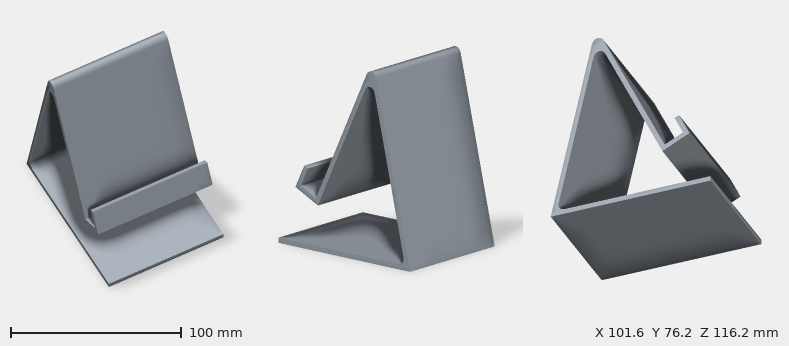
import cadquery as cq
import math

base_length = 101.6
stand_width = 76.2
stand_height = 116.2
wall = 3.1
corner_radius = 3.8
back_angle = 76.9
rest_angle = 64.5
foot_height = 27.9
tray_depth = 19.2
lip_height = 15.7


def step(point, angle, distance):
    """Move from an (x, z) point by a distance along a direction in degrees."""
    direction = math.radians(angle)
    return (point[0] + distance * math.cos(direction), point[1] + distance * math.sin(direction))


rest_down = -rest_angle
tray_out = rest_down + 90
lip_up = tray_out + 90

half_apex = (180 - back_angle - rest_angle) / 2
apex_axis = back_angle + half_apex
apex_sin = math.sin(math.radians(half_apex))
tip_center_height = stand_height - corner_radius
apex_height = tip_center_height + corner_radius / apex_sin * math.sin(math.radians(apex_axis))
apex = (apex_height / math.tan(math.radians(back_angle)), apex_height)
inner_apex = step(apex, apex_axis, -wall / apex_sin)

inner_base_corner = (wall / math.tan(math.radians(back_angle / 2)), wall)

rest_length = (inner_apex[1] - foot_height) / math.sin(math.radians(rest_angle))
tray_heel = step(inner_apex, rest_down, rest_length)
tray_toe = step(tray_heel, tray_out, tray_depth)
lip_outer_end = step(tray_toe, lip_up, lip_height)
lip_inner_end = step(lip_outer_end, tray_out, -wall)
inner_toe = step(lip_inner_end, lip_up, wall - lip_height)
inner_heel = step(inner_toe, tray_out, 2 * wall - tray_depth)

outline = [
    (0, 0),
    (base_length, 0),
    (base_length, wall),
    inner_base_corner,
    inner_apex,
    tray_heel,
    tray_toe,
    lip_outer_end,
    lip_inner_end,
    inner_toe,
    inner_heel,
    apex,
]
stand = cq.Workplane("XZ").polyline(outline).close().extrude(stand_width / 2, both=True)

for corner_x, corner_z in (inner_base_corner, inner_apex, apex):
    nearest = cq.selectors.NearestToPointSelector((corner_x, 0, corner_z))
    stand = stand.edges("|Y").edges(nearest).fillet(corner_radius)

result = stand